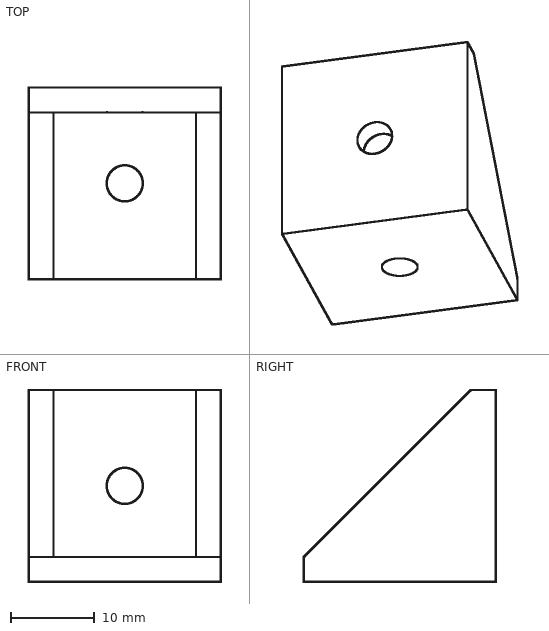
import cadquery as cq

size = 23.0
wall = 3.0
hole_diameter = 4.3

half = size / 2
inner_width = size - 2 * wall


def make_body():
    """Side profile in the YZ plane, extruded across the full width in X."""
    profile = [
        (-half, 0),
        (half, 0),
        (half, size),
        (half - wall, size),
        (-half, wall),
    ]
    return cq.Workplane("YZ").polyline(profile).close().extrude(half, both=True)


def make_pocket():
    """Open space between the side walls, above the base and before the back plate."""
    return cq.Workplane("XY").box(
        inner_width, size - wall, size - wall, centered=(True, False, False)
    ).translate((0, -half, wall))


def make_base_hole():
    """Vertical hole through the middle of the base plate."""
    return cq.Workplane("XY").circle(hole_diameter / 2).extrude(wall)


def make_back_hole():
    """Horizontal hole through the middle of the back plate."""
    return (
        cq.Workplane("XZ", origin=(0, half, half))
        .circle(hole_diameter / 2)
        .extrude(wall)
    )


result = make_body().cut(make_pocket()).cut(make_base_hole()).cut(make_back_hole())